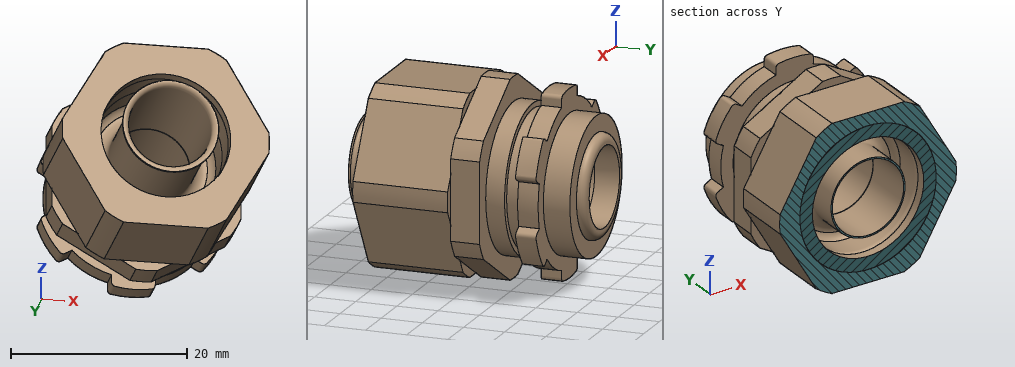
import cadquery as cq
import math


nut_front = 3.0
nut_lip_back = 4.5
ring_back = 8.1
groove_floor = 12.47
ferrule_back = 13.35
nut_back = 14.5
hex_collar_back = 18.0
washer_back = 20.3
locknut_front = 22.27
locknut_back = 24.77
insert_seat = 25.98
thread_end = 27.98
overall_length = 29.0

hex_sides = 6
half_hex_pitch = 180 / hex_sides
hex_across_flats = 21.9
hex_corner_diameter = 23.98

passage_diameter = 15.0
spigot_diameter = 19.5
ring_diameter = 18.4

ferrule_diameter = 10.1
ferrule_bore_diameter = 9.6
ferrule_mouth_diameter = 11.1
mouth_round = 0.58
inner_groove_blend = 1.5
outer_groove_blend = 1.45
outer_groove_center_diameter = 12.47
groove_floor_diameter = 13.3

thread_diameter = 16.68
socket_mouth_round = 0.65
washer_diameter = 18.0
throat_diameter = 9.7
insert_diameter = 12.5
insert_round = 1.02

locknut_diameter = 22.53
locknut_root_diameter = 20.0
tab_count = 6
tab_width = 5.05
tab_round = 0.5


def cylinder(diameter, start, end):
    """Solid cylinder on the Y axis between two stations."""
    return cq.Workplane("XZ", origin=(0, start, 0)).circle(diameter / 2).extrude(start - end)


def round_cornered_hexagon(start, end, turn):
    """Hexagonal prism whose corners are cut by a cylinder; turn = 0 puts two corners on the X axis."""
    sharp_corner_diameter = hex_across_flats / math.cos(math.pi / hex_sides)
    prism = (
        cq.Workplane("XZ", origin=(0, start, 0))
        .polygon(hex_sides, sharp_corner_diameter)
        .extrude(start - end)
        .rotate((0, 0, 0), (0, 1, 0), turn)
    )
    return prism.intersect(cylinder(hex_corner_diameter, start, end))


def arc_point(center, radius, degrees):
    """Point on an arc, at an angle measured from the outward radial direction towards +Y."""
    angle = math.radians(degrees)
    return (center[0] + radius * math.cos(angle), center[1] + radius * math.sin(angle))


def make_ferrule():
    """Thin tube with a bell mouth in front and a flange at its back, hollowed by a round groove."""
    bore_radius = ferrule_bore_diameter / 2
    outer_radius = ferrule_diameter / 2
    flange_radius = passage_diameter / 2
    floor_radius = groove_floor_diameter / 2
    wall = outer_radius - bore_radius
    mouth_center = (bore_radius + mouth_round, mouth_round)
    inner_center = (outer_radius + inner_groove_blend, groove_floor - inner_groove_blend)

    outer_center_radius = outer_groove_center_diameter / 2
    floor_angle = math.degrees(math.acos((floor_radius - outer_center_radius) / outer_groove_blend))
    rim_angle = math.degrees(math.acos((flange_radius - outer_center_radius) / outer_groove_blend))
    floor_drop = outer_groove_blend * math.sin(math.radians(floor_angle))
    outer_center = (outer_center_radius, groove_floor - floor_drop)
    return (
        cq.Workplane("XY")
        .moveTo(bore_radius, ferrule_back)
        .lineTo(bore_radius, mouth_round)
        .threePointArc(arc_point(mouth_center, mouth_round, 225), (mouth_center[0], 0))
        .lineTo(ferrule_mouth_diameter / 2, 0)
        .lineTo(ferrule_mouth_diameter / 2, wall)
        .lineTo(mouth_center[0], wall)
        .threePointArc(arc_point(mouth_center, mouth_round - wall, 225), (outer_radius, mouth_round))
        .lineTo(outer_radius, inner_center[1])
        .threePointArc(
            arc_point(inner_center, inner_groove_blend, 135), (inner_center[0], groove_floor)
        )
        .lineTo(floor_radius, groove_floor)
        .threePointArc(
            arc_point(outer_center, outer_groove_blend, (floor_angle + rim_angle) / 2),
            arc_point(outer_center, outer_groove_blend, rim_angle),
        )
        .lineTo(flange_radius, ferrule_back)
        .close()
        .revolve(360, (0, 0), (0, 1))
    )


def make_nut():
    """Compression nut with a narrow front opening, a ring chamber and a threaded bore."""
    return (
        round_cornered_hexagon(nut_front, nut_back, 0)
        .cut(cylinder(passage_diameter, nut_front, nut_lip_back))
        .cut(cylinder(ring_diameter, nut_lip_back, ring_back))
        .cut(cylinder(spigot_diameter, ring_back, nut_back))
    )


def make_sealing_ring():
    """Plain ring between the nut lip and the spigot of the body."""
    ring = cylinder(ring_diameter, nut_lip_back, ring_back)
    return ring.cut(cylinder(passage_diameter, nut_lip_back, ring_back))


def make_body():
    """Hexagonal collar with a spigot inside the nut and a thread behind it."""
    socket = cylinder(passage_diameter, ring_back, ferrule_back)
    blank = (
        round_cornered_hexagon(nut_back, hex_collar_back, half_hex_pitch)
        .union(cylinder(spigot_diameter, ring_back, nut_back))
        .union(cylinder(thread_diameter, hex_collar_back, thread_end))
    )
    return (
        blank.cut(socket)
        .faces("<Y")
        .edges(cq.selectors.RadiusNthSelector(0))
        .fillet(socket_mouth_round)
        .cut(cylinder(throat_diameter, ferrule_back, insert_seat))
        .cut(cylinder(insert_diameter, insert_seat, thread_end))
    )


def make_washer():
    """Flat sealing washer behind the hexagonal collar."""
    disc = cylinder(washer_diameter, hex_collar_back, washer_back)
    return disc.cut(cylinder(thread_diameter, hex_collar_back, washer_back))


def make_locknut():
    """Ring with six evenly spaced tabs that have rounded outer corners."""
    thickness = locknut_back - locknut_front
    tab_bar = (
        cq.Workplane("XZ", origin=(0, locknut_front, 0))
        .rect(tab_width, locknut_diameter)
        .extrude(-thickness)
        .intersect(cylinder(locknut_diameter, locknut_front, locknut_back))
        .edges("|Y")
        .fillet(tab_round)
    )
    locknut = cylinder(locknut_root_diameter, locknut_front, locknut_back)
    for index in range(tab_count // 2):
        locknut = locknut.union(tab_bar.rotate((0, 0, 0), (0, 1, 0), index * 360 / tab_count))
    return locknut.cut(cylinder(thread_diameter, locknut_front, locknut_back))


def make_throat_insert():
    """Plain bushing with a rounded outer rim at the far end."""
    return (
        cylinder(insert_diameter, insert_seat, overall_length)
        .faces(">Y")
        .edges()
        .fillet(insert_round)
        .cut(cylinder(throat_diameter, insert_seat, overall_length))
    )


ferrule = make_ferrule()
nut = make_nut()
sealing_ring = make_sealing_ring()
body = make_body()
washer = make_washer()
locknut = make_locknut()
throat_insert = make_throat_insert()

result = cq.Compound.makeCompound(
    [
        ferrule.val(),
        nut.val(),
        sealing_ring.val(),
        body.val(),
        washer.val(),
        locknut.val(),
        throat_insert.val(),
    ]
)